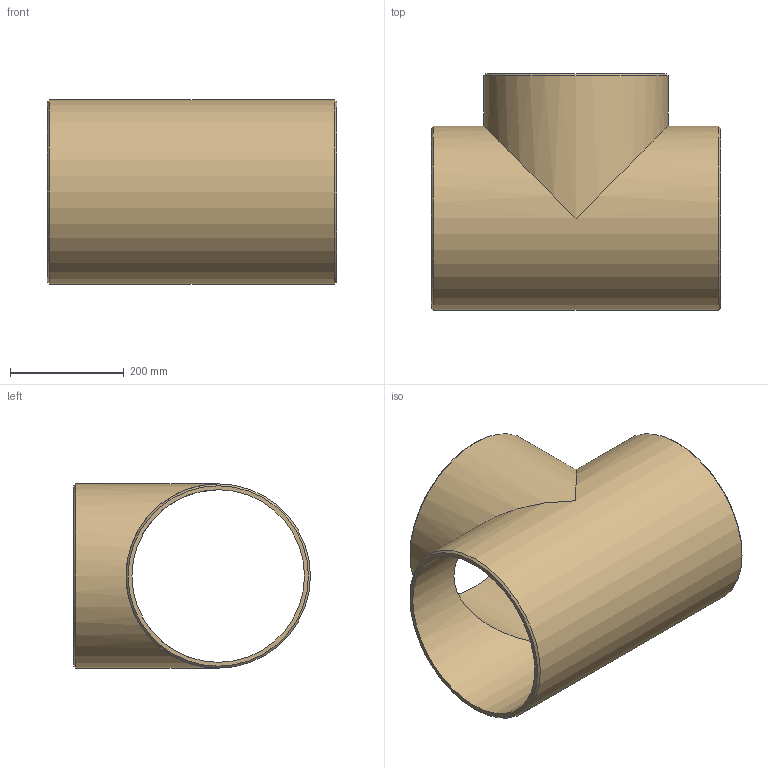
import cadquery as cq

outer_diameter = 323.85
wall = 10.31
center_to_end = 254.0
end_chamfer = wall / 3

outer_radius = outer_diameter / 2
bore_radius = outer_radius - wall


def leg_body(angle):
    """Solid leg from the center out to a chamfered end, turned about Z from +X."""
    body = cq.Workplane("YZ").circle(outer_radius).extrude(center_to_end)
    body = body.faces(">X").chamfer(end_chamfer)
    return body.rotate((0, 0, 0), (0, 0, 1), angle)


def leg_bore(angle):
    """Bore of one leg, from the center to its end, turned about Z from +X."""
    bore = cq.Workplane("YZ").circle(bore_radius).extrude(center_to_end)
    return bore.rotate((0, 0, 0), (0, 0, 1), angle)


leg_angles = (0, 90, 180)

result = leg_body(leg_angles[0])
for angle in leg_angles[1:]:
    result = result.union(leg_body(angle))
for angle in leg_angles:
    result = result.cut(leg_bore(angle))